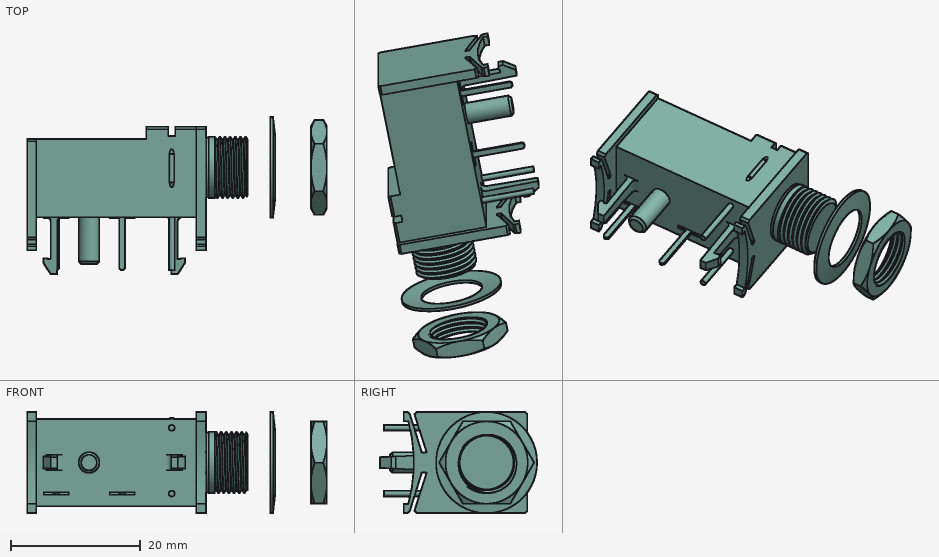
import cadquery as cq
import math


total_length = 46.3
circuit_side = -7.7
housing_back = 4.4
block_back = 6.3
half_body_width = 6.75
half_plate_width = 15.62 / 2
left_plate_thickness = 1.45
front_plate_start = 26.1
front_plate_end = 27.63
front_plate_thickness = front_plate_end - front_plate_start
edge_chamfer = 0.37
overlap = 1.0

block_start = 18.4
block_slot_start = 21.8
block_slot_width = 1.05
block_slot_floor = 4.88

thread_pitch = 25.4 / 32
thread_radius = 9.525 / 2
thread_depth = 0.48
thread_root = thread_radius - thread_depth
thread_embed = 0.04
crest_half_width = 0.02
ridge_half_width = 0.36
thread_start = 28.78
collar_start = 28.07
collar_end = 29.0
neck_radius = 4.65
bushing_end = 34.1
tip_cone_margin = 0.5
tip_cone_length = 0.5
tip_cone_depth = 1.12

washer_left = 37.52
washer_thickness = 0.46
washer_dish = 0.36
washer_radius = half_plate_width
washer_hole_radius = 4.8

nut_thickness = 2.47
nut_flats = 12.7
nut_left = total_length - nut_thickness
nut_chamfer_angle = 30


def box_between(low, high):
    """Box from its low (X, Y, Z) corner to its high corner."""
    size = [b - a for a, b in zip(low, high)]
    return cq.Workplane("XY").box(*size, centered=False).translate(low)


def rod_along_x(radius, start, end):
    return cq.Workplane("YZ", origin=(start, 0, 0)).circle(radius).extrude(end - start)


def thread_ridge(start, length):
    """Right-handed helical ridge round the X axis with a V section."""
    inner = thread_root - thread_embed
    path = cq.Wire.makeHelix(thread_pitch, length, inner)
    section = [
        (inner, -ridge_half_width),
        (thread_radius, -crest_half_width),
        (thread_radius, crest_half_width),
        (inner, ridge_half_width),
    ]
    ridge = cq.Workplane("XZ").polyline(section).close().sweep(cq.Workplane(path), isFrenet=True)
    return ridge.rotate((0, 0, 0), (0, 1, 0), 90).translate((start, 0, 0))


def threaded_bushing():
    neck = rod_along_x(neck_radius, front_plate_start, collar_start)
    collar = rod_along_x(thread_radius, collar_start, collar_end)
    envelope = rod_along_x(thread_radius + tip_cone_margin, front_plate_start, bushing_end)
    envelope = envelope.faces(">X").chamfer(tip_cone_length, tip_cone_depth)
    core = rod_along_x(thread_root, collar_start, bushing_end).intersect(envelope)
    ridge_length = bushing_end - thread_start + thread_pitch / 2
    ridge = thread_ridge(thread_start, ridge_length).intersect(envelope)
    return core.union(ridge).union(collar).union(neck)


plate_corner_y = -11.15
foot_end_y = -12.82
foot_step_y = -12.1
foot_inner_z = 6.37
leaf_middle_y = -11.25
foot_edge = [
    (plate_corner_y + edge_chamfer, half_plate_width),
    (plate_corner_y, half_plate_width - edge_chamfer),
    (-9.3, 1.65),
    (-9.46, 1.48),
    (-9.88, 1.48),
    (-10.02, 1.65),
    (-11.85, 7.5),
    (-12.2, half_plate_width),
    (foot_end_y, half_plate_width),
    (foot_end_y, foot_inner_z),
    (foot_step_y, foot_inner_z),
]


def end_plate(start, thickness, back):
    """Plate with a slit below each side that leaves a bowed leaf with two feet."""
    upper = [
        (back, half_plate_width - edge_chamfer),
        (back - edge_chamfer, half_plate_width),
    ]
    upper += foot_edge
    lower = [(y, -z) for y, z in reversed(upper)]
    return (
        cq.Workplane("YZ", origin=(start, 0, 0))
        .polyline(upper)
        .threePointArc((leaf_middle_y, 0), lower[0])
        .polyline(lower[1:], includeCurrent=True)
        .close()
        .extrude(thickness)
    )


def raised_block():
    """Block behind the front plate, with chamfered long edges and a cross slot."""
    block = box_between(
        (block_start, circuit_side, -half_body_width),
        (front_plate_end, block_back, half_body_width),
    )
    block = block.edges(">Y and |X").chamfer(edge_chamfer)
    slot = box_between(
        (block_slot_start, block_slot_floor, -half_plate_width),
        (block_slot_start + block_slot_width, block_back + overlap, half_plate_width),
    )
    return block.cut(slot)


round_pin_x = 22.33
round_pin_radius = 0.45
pin_tip_y = -15.85
upper_pin_z = 5.36
lower_pin_z = -4.8


def rod_toward_board(x, z, radius, tip_y):
    rod = cq.Workplane("XZ", origin=(x, housing_back - overlap, z)).circle(radius)
    return rod.extrude(housing_back - overlap - tip_y)


def round_pin(z):
    return rod_toward_board(round_pin_x, z, round_pin_radius, pin_tip_y)


flat_pin_x = (4.5, 14.68)
flat_pin_width = 0.92
flat_pin_thickness = 0.42
flat_pin_tip_chamfer = 0.28
pin_shoulder_width = 3.85
pin_shoulder_height = 0.15


def flat_pin(x):
    """Flat contact pin with a bevelled tip on a wide, low shoulder."""
    half_thickness = flat_pin_thickness / 2
    blade = box_between(
        (x - flat_pin_width / 2, pin_tip_y, lower_pin_z - half_thickness),
        (x + flat_pin_width / 2, 0, lower_pin_z + half_thickness),
    )
    blade = blade.edges("<Y and |Z").chamfer(flat_pin_tip_chamfer)
    shoulder = box_between(
        (x - pin_shoulder_width / 2, circuit_side - pin_shoulder_height, lower_pin_z - half_thickness),
        (x + pin_shoulder_width / 2, 0, lower_pin_z + half_thickness),
    )
    return blade.union(shoulder)


peg_x = 9.57
peg_radius = 1.6
peg_tip_y = -14.92
peg_chamfer = 0.4


def locating_peg():
    peg = rod_toward_board(peg_x, 0, peg_radius, peg_tip_y)
    return peg.faces("<Y").chamfer(peg_chamfer)


left_leg_inner_x = 4.66
right_leg_inner_x = 22.24
leg_thickness = 1.02
leg_tip_y = -16.49
leg_root_fillet = 0.7
leg_root_half_width = 1.2
leg_tip_half_width = 0.85
hook_reach = 1.13
hook_shoulder_y = -14.1
hook_nose_y = -14.75
hook_lip_y = -14.0
hook_lip_start = 0.45


def snap_leg(inner_x, outward):
    """Tapered snap leg; outward is the X sign of the side its hook points to."""
    root = circuit_side
    start_y = root + overlap

    def place(offset, y):
        return (inner_x + outward * offset, y)

    fillet_middle = leg_root_fillet * (1 - math.sqrt(0.5))
    profile = (
        cq.Workplane("XY", origin=(0, 0, -leg_root_half_width))
        .moveTo(*place(-leg_root_fillet, start_y))
        .lineTo(*place(-leg_root_fillet, root))
        .threePointArc(
            place(-fillet_middle, root - fillet_middle),
            place(0, root - leg_root_fillet),
        )
        .lineTo(*place(0, leg_tip_y))
        .lineTo(*place(leg_thickness, leg_tip_y))
        .lineTo(*place(leg_thickness + hook_reach, hook_nose_y))
        .lineTo(*place(leg_thickness + hook_reach, hook_lip_y))
        .lineTo(*place(leg_thickness + hook_lip_start, hook_lip_y))
        .lineTo(*place(leg_thickness + hook_lip_start, hook_shoulder_y))
        .lineTo(*place(leg_thickness, hook_shoulder_y))
        .lineTo(*place(leg_thickness, root - leg_root_fillet))
        .threePointArc(
            place(leg_thickness + fillet_middle, root - fillet_middle),
            place(leg_thickness + leg_root_fillet, root),
        )
        .lineTo(*place(leg_thickness + leg_root_fillet, start_y))
        .close()
        .extrude(2 * leg_root_half_width)
    )
    taper_outline = [
        (start_y, leg_root_half_width),
        (root, leg_root_half_width),
        (leg_tip_y, leg_tip_half_width),
        (leg_tip_y, -leg_tip_half_width),
        (root, -leg_root_half_width),
        (start_y, -leg_root_half_width),
    ]
    taper = cq.Workplane("YZ").polyline(taper_outline).close().extrude(total_length)
    return profile.intersect(taper)


rib_z = 6.52
rib_back = 2.0
rib_front = -2.25
rib_end_length = 0.9
rib_end_drop = 0.23
rib_radius = 0.43


def rib_rod(first, second):
    """Round rod at the rib's X between two (Y, Z) points."""
    step_y = second[0] - first[0]
    step_z = second[1] - first[1]
    direction = cq.Vector(0, step_y, step_z)
    start = cq.Vector(round_pin_x, *first)
    return cq.Workplane(cq.Solid.makeCylinder(rib_radius, direction.Length, start, direction))


def contact_rib():
    """Rod lying in the wall, partly proud of it, with ends that sink into the wall."""
    rib = rib_rod((rib_front, rib_z), (rib_back, rib_z))
    for end_y, outward in ((rib_front, -1), (rib_back, 1)):
        sunk_end = (end_y + outward * rib_end_length, rib_z - rib_end_drop)
        rib = rib.union(rib_rod((end_y, rib_z), sunk_end))
    return rib


def make_housing():
    housing = box_between(
        (0, circuit_side, -half_body_width),
        (front_plate_end, housing_back, half_body_width),
    )
    housing = housing.union(raised_block())
    housing = housing.union(end_plate(0, left_plate_thickness, housing_back))
    housing = housing.union(end_plate(front_plate_start, front_plate_thickness, block_back))
    for z in (upper_pin_z, lower_pin_z):
        housing = housing.union(round_pin(z))
    for x in flat_pin_x:
        housing = housing.union(flat_pin(x))
    housing = housing.union(locating_peg())
    housing = housing.union(snap_leg(left_leg_inner_x, -1))
    housing = housing.union(snap_leg(right_leg_inner_x, 1))
    housing = housing.union(contact_rib())
    return housing.union(threaded_bushing())


def make_washer():
    """Dished ring whose bore lies further along X than its rim."""
    section = [
        (washer_left, washer_radius),
        (washer_left + washer_thickness, washer_radius),
        (washer_left + washer_thickness + washer_dish, washer_hole_radius),
        (washer_left + washer_dish, washer_hole_radius),
    ]
    return cq.Workplane("XY").polyline(section).close().revolve(360, (0, 0, 0), (1, 0, 0))


def make_nut():
    """Hex nut with two flats square to Z, both ends chamfered and a threaded bore."""
    corner_radius = nut_flats / 2 / math.cos(math.radians(30))
    hexagon = cq.Workplane("YZ", origin=(nut_left, 0, 0)).polygon(6, 2 * corner_radius)
    nut = hexagon.extrude(nut_thickness)

    corner_cut = corner_radius - nut_flats / 2
    chamfer_length = corner_cut * math.tan(math.radians(nut_chamfer_angle))
    envelope = rod_along_x(corner_radius, nut_left, total_length)
    envelope = envelope.faces("<X or >X").edges().chamfer(chamfer_length, corner_cut)
    nut = nut.intersect(envelope)

    ridge = thread_ridge(nut_left - thread_pitch, nut_thickness + 2 * thread_pitch)
    ridge = ridge.intersect(rod_along_x(corner_radius, nut_left, total_length))
    bore = rod_along_x(thread_root, nut_left, total_length)
    return nut.cut(bore.union(ridge))


housing = make_housing()
washer = make_washer()
nut = make_nut()
result = cq.Compound.makeCompound([housing.solids().val(), washer.val(), nut.solids().val()])